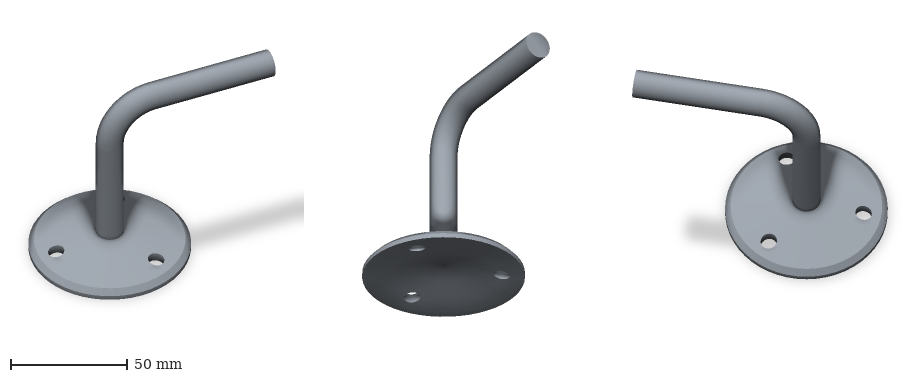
import cadquery as cq
import math

flange_radius = 35.0
plate_thickness = 4.0
dish_height = 6.0
rim_height = 2.0
apex_height = dish_height + plate_thickness
cone_slope = dish_height / flange_radius
bevel_width = (plate_thickness - rim_height) / (1 - cone_slope)

rod_radius = 6.0
bend_radius = 20.0
overall_height = 85.0
rod_reach = 75.0
rod_axis_height = overall_height - rod_radius
bend_start_height = rod_axis_height - bend_radius

hole_count = 3
hole_diameter = 7.0
hole_circle_radius = 25.0
first_hole_angle = -90.0


def make_flange():
    """Conical plate of constant vertical thickness, revolved about Z."""
    cone_edge_radius = flange_radius - bevel_width
    cone_edge_height = rim_height + bevel_width
    return (
        cq.Workplane("XZ")
        .moveTo(0, dish_height)
        .lineTo(flange_radius, 0)
        .lineTo(flange_radius, rim_height)
        .lineTo(cone_edge_radius, cone_edge_height)
        .lineTo(0, apex_height)
        .close()
        .revolve(360, (0, 0, 0), (0, 1, 0))
    )


def make_rod():
    """Round rod with a vertical leg, a quarter bend and a horizontal leg.

    It starts at the apex of the hollow underside, so its foot is buried in the flange.
    """
    bend_offset = bend_radius * math.sin(math.radians(45))
    bend_middle = (bend_radius - bend_offset, bend_start_height + bend_offset)
    path = (
        cq.Workplane("YZ")
        .moveTo(0, dish_height)
        .lineTo(0, bend_start_height)
        .threePointArc(bend_middle, (bend_radius, rod_axis_height))
        .lineTo(rod_reach, rod_axis_height)
    )
    return cq.Workplane("XY").workplane(offset=dish_height).circle(rod_radius).sweep(path)


def make_mounting_holes():
    """Vertical through-hole cutters evenly spaced around the flange."""
    return (
        cq.Workplane("XY")
        .polarArray(hole_circle_radius, first_hole_angle, 360, hole_count)
        .circle(hole_diameter / 2)
        .extrude(apex_height)
    )


flange = make_flange().cut(make_mounting_holes())
result = flange.union(make_rod())